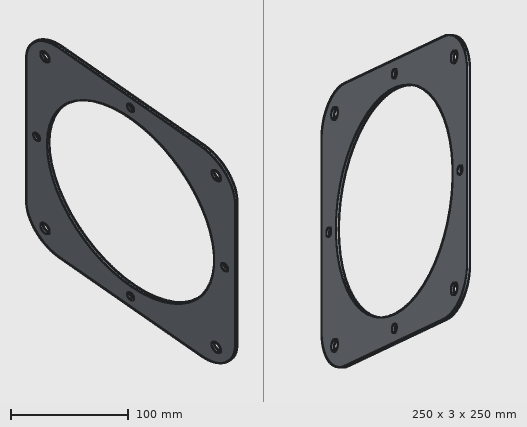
import cadquery as cq

side = 250.0
thickness = 3.0
corner_radius = 40.0

opening_diameter = 200.0

corner_hole_spacing = 205.0
corner_hole_diameter = 11.0

side_hole_circle_diameter = 225.0
side_hole_diameter = 8.0
side_hole_count = 4

plate = (
    cq.Workplane("XZ")
    .rect(side, side)
    .extrude(thickness / 2, both=True)
    .edges("|Y")
    .fillet(corner_radius)
)

plate = plate.faces("<Y").workplane(origin=(0, 0, 0)).hole(opening_diameter)

plate = (
    plate.faces("<Y")
    .workplane(origin=(0, 0, 0))
    .rect(corner_hole_spacing, corner_hole_spacing, forConstruction=True)
    .vertices()
    .hole(corner_hole_diameter)
)

result = (
    plate.faces("<Y")
    .workplane(origin=(0, 0, 0))
    .polarArray(side_hole_circle_diameter / 2, 0, 360, side_hole_count)
    .hole(side_hole_diameter)
)